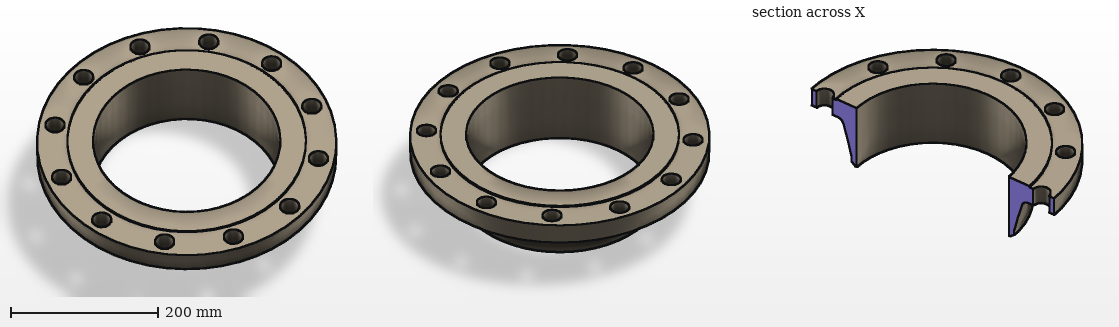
import cadquery as cq

total_height = 103.2
raised_face_height = 2.0
flange_thickness = 29.3
weld_end_height = 13.5
bevel_height = 5.5

flange_diameter = 406.5
raised_face_diameter = 324.0
bore_diameter = 254.5
hub_base_diameter = 304.0
weld_end_diameter = 273.0
bevel_width = 6.5
hub_fillet_radius = 10.0

bolt_count = 12
bolt_circle_diameter = 362.5
bolt_hole_diameter = 26.0

flange_top = total_height - raised_face_height
flange_bottom = flange_top - flange_thickness


def revolved_body():
    """Flange, raised face and tapered weld neck, revolved about Z."""
    bore_radius = bore_diameter / 2
    weld_end_radius = weld_end_diameter / 2
    return (
        cq.Workplane("XZ")
        .moveTo(bore_radius, 0)
        .lineTo(weld_end_radius - bevel_width, 0)
        .lineTo(weld_end_radius, bevel_height)
        .lineTo(weld_end_radius, weld_end_height)
        .lineTo(hub_base_diameter / 2, flange_bottom)
        .lineTo(flange_diameter / 2, flange_bottom)
        .lineTo(flange_diameter / 2, flange_top)
        .lineTo(raised_face_diameter / 2, flange_top)
        .lineTo(raised_face_diameter / 2, total_height)
        .lineTo(bore_radius, total_height)
        .close()
        .revolve(360, (0, 0), (0, 1))
    )


def fillet_hub(body):
    """Round the inner corner where the hub meets the flange underside."""
    margin = 0.5
    half_width = hub_base_diameter / 2 + margin
    corner = cq.selectors.BoxSelector(
        (-half_width, -half_width, flange_bottom - margin),
        (half_width, half_width, flange_bottom + margin),
        boundingbox=True,
    )
    return body.edges("%CIRCLE").edges(corner).fillet(hub_fillet_radius)


def bolt_holes():
    """Ring of through-hole cutters, the first one on the X axis."""
    return (
        cq.Workplane("XY")
        .polarArray(bolt_circle_diameter / 2, 0, 360, bolt_count)
        .circle(bolt_hole_diameter / 2)
        .extrude(total_height)
    )


result = fillet_hub(revolved_body()).cut(bolt_holes())